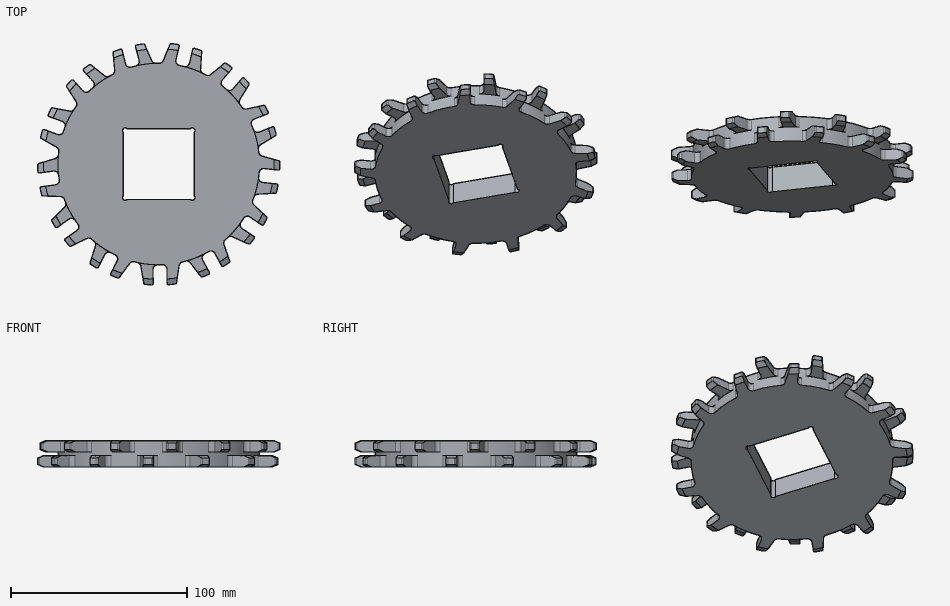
import cadquery as cq
import math

total_thickness = 15.0
plate_thickness = 6.5
hub_radius = 57.2

tooth_count = 13
tooth_pitch = 360.0 / tooth_count
tip_radius = 68.75
tooth_lean = 10.15
tooth_half_angle = 4.65
tooth_tip_width = 5.27
tooth_overlap = 8.0
root_fillet = 2.5
tip_corner_radius = 0.9
tip_bevel_length = 3.4
tip_bevel_depth = 1.5
upper_phase = -0.81
lower_phase = 16.02

bore_side = 40.0
relief_radius = 1.5
relief_inset = 1.0

axis_start = (0, 0, 0)
z_axis = (0, 0, 1)
x_axis = (1, 0, 0)


def disc(radius, thickness):
    return cq.Workplane("XY").circle(radius).extrude(thickness)


def corners_near(body, radius):
    """Axial edges of a body that lie on the cylinder of the given radius."""
    tolerance = 0.01

    def on_cylinder(edge):
        centre = edge.Center()
        return abs(math.hypot(centre.x, centre.y) - radius) < tolerance

    return body.edges("|Z").filter(on_cylinder)


def tooth_blank():
    """One tapered tooth, tilted about its tip centre on the +X axis and rounded at the tip corners."""
    taper = math.tan(math.radians(tooth_half_angle))
    inward = tip_radius - hub_radius + tooth_overlap
    outward = tooth_tip_width / 2
    inner_half = tooth_tip_width / 2 + inward * taper
    outer_half = tooth_tip_width / 2 - outward * taper
    wedge = (
        cq.Workplane("XY")
        .moveTo(-inward, -inner_half)
        .lineTo(outward, -outer_half)
        .lineTo(outward, outer_half)
        .lineTo(-inward, inner_half)
        .close()
        .extrude(plate_thickness)
        .rotate(axis_start, z_axis, -tooth_lean)
        .translate((tip_radius, 0, 0))
    )
    trimmed = wedge.intersect(disc(tip_radius, plate_thickness))
    return corners_near(trimmed, tip_radius).fillet(tip_corner_radius)


def bevel_envelope():
    """Turned body whose rim is bevelled on both faces."""
    bevel_start = tip_radius - tip_bevel_length
    return (
        cq.Workplane("XZ")
        .polyline([
            (0, 0),
            (bevel_start, 0),
            (tip_radius, tip_bevel_depth),
            (tip_radius, plate_thickness - tip_bevel_depth),
            (bevel_start, plate_thickness),
            (0, plate_thickness),
        ])
        .close()
        .revolve(360, axis_start, (0, 1, 0))
    )


def toothed_plate():
    """Plate with its first tooth tip on the +X axis."""
    plate = disc(hub_radius, plate_thickness)
    tooth = tooth_blank()
    for index in range(tooth_count):
        plate = plate.union(tooth.rotate(axis_start, z_axis, index * tooth_pitch))
    plate = corners_near(plate, hub_radius).fillet(root_fillet)
    return plate.intersect(bevel_envelope())


def square_bore():
    """Cutter for the bore and its corner reliefs."""
    relief_spacing = bore_side - 2 * relief_inset
    square = cq.Workplane("XY").rect(bore_side, bore_side).extrude(total_thickness)
    reliefs = (
        cq.Workplane("XY")
        .rect(relief_spacing, relief_spacing, forConstruction=True)
        .vertices()
        .circle(relief_radius)
        .extrude(total_thickness)
    )
    return square.union(reliefs)


plate = toothed_plate()
upper_plate = (
    plate.rotate(axis_start, z_axis, upper_phase)
    .translate((0, 0, total_thickness - plate_thickness))
)
lower_plate = (
    plate.rotate(axis_start, x_axis, 180)
    .translate((0, 0, plate_thickness))
    .rotate(axis_start, z_axis, lower_phase)
)
hub = disc(hub_radius, total_thickness)

result = hub.union(upper_plate).union(lower_plate).cut(square_bore())